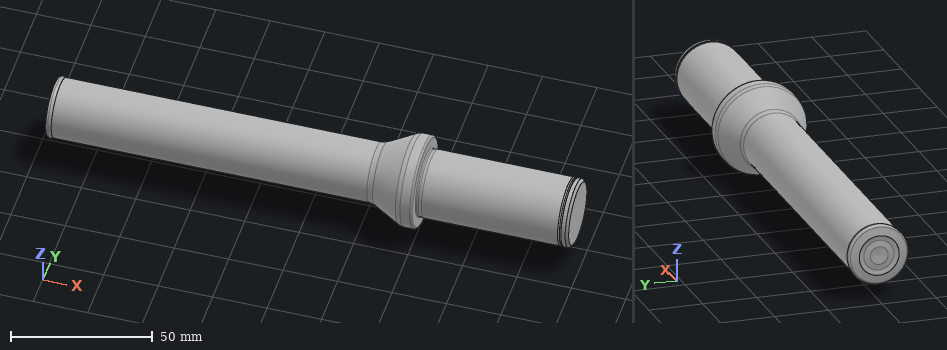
import cadquery as cq
import math


tip_radius = 22.5 / 2
corner_radius = 0.9
relief_angle = math.radians(11)
face_angle = math.radians(10)
inner_crest_radius = 3.3
valley_radius = 5.6
outer_crest_radius = 7.4
valley_depth = (outer_crest_radius - valley_radius) * math.tan(face_angle)
centre_depth = 0.3

shaft_radius = 22 / 2
collar_radius = 34 / 2
collar_end = 137
collar_width = 5.3
collar_start = collar_end - collar_width
cone_angle = math.radians(27)
cone_start = collar_start - (collar_radius - shaft_radius) / math.tan(cone_angle)
cone_root_fillet = 5
cone_rim_fillet = 4
collar_back_fillet = 0.8

tool_length = 193
shank_radius = 25 / 2
relief_radius = 24.5 / 2
neck_fillet = 0.4
neck_end = collar_end + 1
neck_ramp = 1.2
shank_start = neck_end + neck_ramp
groove_start = 189.2
groove_ramp = 0.6
groove_width = 0.6
groove_floor_start = groove_start + groove_ramp
groove_end = groove_floor_start + groove_width
end_chamfer = 1

corner_centre_r = tip_radius - corner_radius
corner_front_r = corner_centre_r + corner_radius * math.sin(face_angle)
corner_front_x = (corner_front_r - outer_crest_radius) * math.tan(face_angle)
corner_centre_x = corner_front_x + corner_radius * math.cos(face_angle)
corner_back_x = corner_centre_x + corner_radius * math.sin(relief_angle)
corner_back_r = corner_centre_r + corner_radius * math.cos(relief_angle)
mid_angle = math.radians(45)
corner_mid_x = corner_centre_x - corner_radius * math.cos(mid_angle)
corner_mid_r = corner_centre_r + corner_radius * math.sin(mid_angle)

tip_back = corner_back_x + (corner_back_r - shaft_radius) / math.tan(relief_angle)


def turned(profile):
    """Close a half profile in the XY plane and revolve it about the X axis."""
    return profile.close().revolve(360, (0, 0, 0), (1, 0, 0))


def fillet_circle(body, x, radius, fillet_radius):
    """Round the circular edge of the given radius at the given place along the X axis."""
    slack = 0.01
    reach = radius + slack
    box = cq.selectors.BoxSelector(
        (x - slack, -reach, -reach),
        (x + slack, reach, reach),
        boundingbox=True,
    )
    widest = cq.selectors.RadiusNthSelector(-1)
    return body.edges(box).edges(widest).fillet(fillet_radius)


def build_tip():
    profile = (
        cq.Workplane("XY")
        .moveTo(centre_depth, 0)
        .lineTo(0, inner_crest_radius)
        .lineTo(valley_depth, valley_radius)
        .lineTo(0, outer_crest_radius)
        .lineTo(corner_front_x, corner_front_r)
        .threePointArc((corner_mid_x, corner_mid_r), (corner_back_x, corner_back_r))
        .lineTo(tip_back, shaft_radius)
        .lineTo(tip_back, 0)
    )
    return turned(profile)


def build_holder():
    """Shaft, conical collar and shank in one piece."""
    outline = [
        (tip_back, 0),
        (tip_back, shaft_radius),
        (cone_start, shaft_radius),
        (collar_start, collar_radius),
        (collar_end, collar_radius),
        (collar_end, relief_radius),
        (neck_end, relief_radius),
        (shank_start, shank_radius),
        (groove_start, shank_radius),
        (groove_floor_start, relief_radius),
        (groove_end, relief_radius),
        (groove_end, shank_radius),
        (tool_length - end_chamfer, shank_radius),
        (tool_length, shank_radius - end_chamfer),
        (tool_length, 0),
    ]
    body = turned(cq.Workplane("XY").polyline(outline))
    body = fillet_circle(body, cone_start, shaft_radius, cone_root_fillet)
    body = fillet_circle(body, collar_start, collar_radius, cone_rim_fillet)
    body = fillet_circle(body, collar_end, collar_radius, collar_back_fillet)
    return fillet_circle(body, collar_end, relief_radius, neck_fillet)


tip = build_tip()
holder = build_holder()
result = cq.Compound.makeCompound([tip.val(), holder.val()])